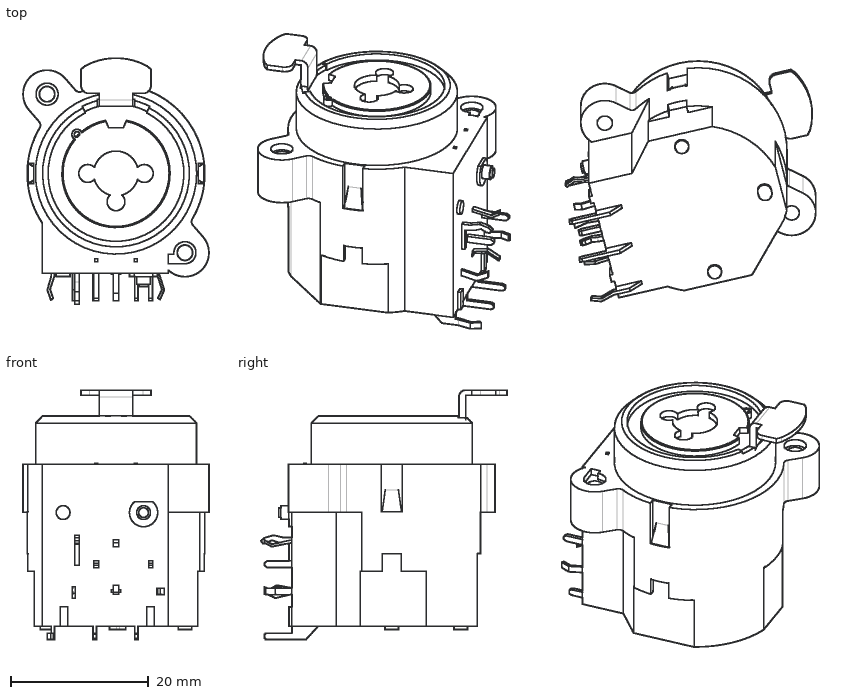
import cadquery as cq
import math


flange_radius = 12.9
flange_thickness = 7.0
housing_bottom = -23.55
block_left = -10.7
block_right = 7.6
block_front = -14.5
side_flat_x = 11.88
side_flat_top = -15.55
side_notch_width = 2.8
side_notch_top = -13.0
back_flat_y = 12.4
back_flat_top = -13.0
back_relief_y = 5.2
back_relief_bend_x = -4.66
back_relief_bend_y = 11.65
back_relief_end_x = -3.2
front_relief_x = 12.15
front_relief_end_y = -8.03

ear_x = 10.0
ear_y = 11.5
ear_radius = 3.5
ear_fillet = 0.8
screw_diameter = 2.2
counterbore_diameter = 3.2
counterbore_depth = 1.0
ear_pocket_width = 1.4

snap_floor_x = 11.9
snap_width = 3.0
snap_top = -3.7
snap_bottom = -6.9
ramp_top_width = 1.9
ramp_bottom_width = 2.8
ramp_rise = 0.8

collar_diameter = 23.4
collar_height = 7.0
collar_chamfer = 1.05
recess_radius = 9.85
recess_depth = 1.0
face_radius = 7.85
face_chamfer = 0.15
key_y = 6.6
key_bottom_width = 2.1
key_top_width = 3.2
nub_offset = 5.65
nub_radius = 0.75
nub_hole_radius = 0.4
socket_radius = 3.25
contact_radius = 1.3
contact_offset = 4.1
latch_gap_half_angle = 26.7
latch_gap_depth = 0.25
latch_gap_radius = 10.05
latch_slot_width = 5.45

latch_top = 10.75
sheet = 0.76
latch_width = 4.9
latch_front = 9.72
latch_back = 10.75
bend_radius = 1.0
latch_seat = 0.5
latch_foot = collar_height - recess_depth - latch_seat
tab_half_width = 5.1
tab_front = 11.6
tab_corner = 1.2
tab_shoulder_y = 15.1
tab_arc_x = 4.5
tab_arc_y = 15.6
tab_back = 16.75

stud_z = -7.03
stud_diameter = 2.0
pad_height = 0.45
left_pad_x = -7.67
right_pad_x = 4.0
right_pad_diameter = 4.1
right_pad_flat = 1.55
stud_length = 1.6
stud_tip_diameter = 1.4
stud_tip_length = 1.93
rib_width = 1.1
rib_top = -20.7
rib_centers = (-7.52, 5.03)

embed = 0.6
pin_length = 4.0
pin_tip = 0.4

straight_pin_low = -15.0
straight_pin_top = -14.05
straight_pin_spans = ((-3.23, -2.5), (4.75, 5.3))

strip_half_width = 0.43
upper_strip_edge = (-11.4, -12.0, -11.4)
upper_strip_kink = 2.9
upper_strip_thickness = 0.4
lower_strip_edge = (-18.25, -17.85, -18.9)
lower_strip_kink = 2.2
lower_strip_thickness = 0.3
lower_root_half_width = 0.7
lower_root_low = -18.6
lower_root_top = -18.2
lower_root_height = 0.1
left_strip_span = (-6.34, -5.9)
left_strip_edge = (-18.9, -19.45, -18.7)
left_strip_kink = 2.4
left_strip_thickness = 0.9

legged_span = (-6.02, -5.33)
leg_thickness = 0.45
leg_bottom = -14.7
legged_outline = [
    (-embed, -10.64),
    (1.2, -10.64),
    (2.65, -10.3),
    (4.0, -10.68),
    (4.51, -11.15),
    (4.2, -11.55),
    (3.75, -11.5),
    (2.9, -11.05),
    (1.9, -11.4),
    (leg_thickness, -11.6),
    (leg_thickness, leg_bottom),
    (-embed, leg_bottom),
]

side_bent_low = -18.95
side_bent_top = -18.0
side_bent_outline = [
    (5.9, -embed),
    (6.25, -embed),
    (6.25, 0),
    (7.03, 2.4),
    (6.4, 3.8),
    (6.05, 3.6),
    (6.65, 2.35),
    (5.9, 0),
]

bottom_pin_low = -25.45
bottom_pin_top = -24.5
gusset_top_out = -3.8
gusset_low_out = -2.05
bottom_straight_spans = ((-3.34, -2.82), (2.7, 3.22))
bottom_bent_span = (-9.4, -8.92)
bent_root = 0.4
bent_root_tip = 0.1
bottom_bent_outline = [
    (bottom_bent_span[0], 0),
    (bottom_bent_span[1], 0),
    (bottom_bent_span[1], bent_root),
    (-9.55, 2.3),
    (-9.1, 3.6),
    (-9.45, 3.9),
    (-9.98, 2.4),
    (bottom_bent_span[0], bent_root),
]

foot_diameter = 2.0
foot_height = 0.45
foot_x = 10.0
back_foot_x = 0.25
back_foot_y = 10.0
back_foot_length = 2.4
pip_size = 0.4
pip_height = 0.1
pip_x = 2.88
pip_y = -12.6


def block(x0, x1, y0, y1, z0, z1):
    """Axis-aligned box between two corners."""
    return cq.Workplane("XY").box(x1 - x0, y1 - y0, z1 - z0, centered=False).translate((x0, y0, z0))


def cylinder(x, y, z0, z1, radius):
    """Vertical cylinder."""
    return cq.Workplane("XY").workplane(offset=z0).center(x, y).circle(radius).extrude(z1 - z0)


def front_cylinder(x, z, reach, diameter):
    """Cylinder standing out of the front face."""
    plane = cq.Workplane("XZ", origin=(x, block_front + embed, z))
    return plane.circle(diameter / 2).extrude(reach + embed)


def half_turn(shape):
    """The same shape turned half a turn about the jack axis."""
    return shape.rotate((0, 0, 0), (0, 0, 1), 180)


def ear_plate():
    """Ear joined to the flange by a web of its own width."""
    length = math.hypot(ear_x, ear_y)
    direction = math.degrees(math.atan2(ear_y, -ear_x))
    web = block(0, length, -ear_radius, ear_radius, -flange_thickness, 0)
    web = web.rotate((0, 0, 0), (0, 0, 1), direction)
    return web.union(cylinder(-ear_x, ear_y, -flange_thickness, 0, ear_radius))


def flange():
    """Round flange with an ear at two opposite corners."""
    ear = ear_plate()
    disc = cylinder(0, 0, -flange_thickness, 0, flange_radius)
    plate = disc.union(ear).union(half_turn(ear))
    web_reach = math.sqrt(flange_radius**2 - ear_radius**2)
    for side in (1, -1):
        for edge in (1, -1):
            ux = -side * ear_x / math.hypot(ear_x, ear_y)
            uy = side * ear_y / math.hypot(ear_x, ear_y)
            x = ux * web_reach + edge * uy * ear_radius
            y = uy * web_reach - edge * ux * ear_radius
            corner = cq.selectors.NearestToPointSelector((x, y, -flange_thickness / 2))
            plate = plate.edges("|Z").edges(corner).fillet(ear_fillet)
    return plate


def on_flange(offset):
    """Other coordinate of a point on the flange rim, given one of them."""
    return math.sqrt(flange_radius**2 - offset**2)


def relief_prism(points):
    """Prism reaching from the housing bottom up to the flange."""
    plane = cq.Workplane("XY").workplane(offset=housing_bottom)
    return plane.polyline(points).close().extrude(-flange_thickness - housing_bottom)


def back_ear_relief():
    """Space under the back ear, bounded by two slanted flats."""
    outer = 2 * flange_radius
    return relief_prism([
        (-on_flange(back_relief_y), back_relief_y),
        (back_relief_bend_x, back_relief_bend_y),
        (back_relief_end_x, on_flange(back_relief_end_x)),
        (back_relief_end_x, outer),
        (-outer, outer),
        (-outer, back_relief_y),
    ])


def front_ear_relief():
    """Space under the front ear, bounded by a slanted flat and the terminal block."""
    outer = 2 * flange_radius
    return relief_prism([
        (front_relief_x, -on_flange(front_relief_x)),
        (block_right, front_relief_end_y),
        (block_right, -outer),
        (outer, -outer),
        (outer, -on_flange(front_relief_x)),
    ])


def housing():
    """Lower body with flats, reliefs and the square terminal block."""
    body = cylinder(0, 0, housing_bottom, -flange_thickness, flange_radius)
    body = body.cut(back_ear_relief()).cut(front_ear_relief())
    outer = 2 * flange_radius
    side_space = block(-outer, -side_flat_x, -outer, outer, housing_bottom, side_flat_top)
    half_notch = side_notch_width / 2
    notch = block(-outer, -side_flat_x, -half_notch, half_notch, side_flat_top, side_notch_top)
    side_space = side_space.union(notch)
    body = body.cut(side_space).cut(half_turn(side_space))
    body = body.cut(block(-outer, outer, back_flat_y, outer, housing_bottom, back_flat_top))
    terminal_block = block(block_left, block_right, block_front, 0, housing_bottom, 0)
    return body.union(flange()).union(terminal_block)


def ear_holes():
    """Counterbored screw holes, with a square pocket beside the front one."""
    tool = None
    for side in (1, -1):
        x = -side * ear_x
        y = side * ear_y
        hole = cylinder(x, y, -flange_thickness, 0, screw_diameter / 2)
        hole = hole.union(cylinder(x, y, -counterbore_depth, 0, counterbore_diameter / 2))
        tool = hole if tool is None else tool.union(hole)
    pocket_front = -ear_y - counterbore_diameter / 2
    pocket_back = pocket_front + ear_pocket_width
    pocket = block(block_right, ear_x, pocket_front, pocket_back, -counterbore_depth, 0)
    return tool.union(pocket)


def snap_slot():
    """Slot in the left side of the flange, less the snap ramp inside it."""
    half = snap_width / 2
    slot = block(-2 * flange_radius, -snap_floor_x, -half, half, snap_bottom, 0)
    wedge = (
        cq.Workplane("XZ", origin=(0, half, 0))
        .polyline([
            (-snap_floor_x, snap_top),
            (-snap_floor_x, snap_bottom),
            (-snap_floor_x - ramp_rise, snap_bottom),
        ])
        .close()
        .extrude(snap_width)
    )
    taper = (
        cq.Workplane("YZ")
        .polyline([
            (-ramp_top_width / 2, snap_top),
            (ramp_top_width / 2, snap_top),
            (ramp_bottom_width / 2, snap_bottom),
            (-ramp_bottom_width / 2, snap_bottom),
        ])
        .close()
        .extrude(-2 * flange_radius)
    )
    return slot.cut(wedge.intersect(taper))


def collar():
    """Chamfered collar with the raised socket face in its recess."""
    floor = collar_height - recess_depth
    ring = cylinder(0, 0, 0, collar_height, collar_diameter / 2)
    ring = ring.faces(">Z").chamfer(collar_chamfer)
    ring = ring.cut(cylinder(0, 0, floor, collar_height, recess_radius))
    gap_x = collar_diameter * math.tan(math.radians(latch_gap_half_angle))
    sector = (
        cq.Workplane("XY")
        .workplane(offset=floor)
        .polyline([(0, 0), (gap_x, collar_diameter), (-gap_x, collar_diameter)])
        .close()
        .extrude(recess_depth)
    )
    wide_recess = sector.intersect(cylinder(0, 0, floor, collar_height, latch_gap_radius))
    half_slot = latch_slot_width / 2
    slot = block(-half_slot, half_slot, latch_front, latch_back, floor, collar_height)
    low_rim = sector.translate((0, 0, recess_depth - latch_gap_depth))
    return ring.cut(low_rim).cut(wide_recess).cut(slot).union(socket_face(floor))


def socket_face(floor):
    """Socket disc with key notch, edge nub and the three-lobed opening."""
    nub = cylinder(-nub_offset, nub_offset, floor, collar_height, nub_radius)
    nub = nub.cut(cylinder(-nub_offset, nub_offset, floor, collar_height, nub_hole_radius))
    face = cylinder(0, 0, floor, collar_height, face_radius)
    face = face.faces(">Z").chamfer(face_chamfer).union(nub)
    key = (
        cq.Workplane("XY")
        .workplane(offset=floor)
        .polyline([
            (-key_bottom_width / 2, key_y),
            (key_bottom_width / 2, key_y),
            (key_top_width / 2, face_radius),
            (-key_top_width / 2, face_radius),
        ])
        .close()
        .extrude(recess_depth)
    )
    face = face.cut(key)
    opening = cylinder(0, 0, floor, collar_height, socket_radius)
    for x, y in ((-contact_offset, 0), (contact_offset, 0), (0, -contact_offset)):
        opening = opening.union(cylinder(x, y, floor, collar_height, contact_radius))
    return face.cut(opening)


def push_latch():
    """Bent sheet latch ending in a wide push tab."""
    half = latch_width / 2
    arm_back = tab_front + tab_corner
    arm = block(-half, half, latch_front, arm_back, latch_foot, latch_top)
    under = block(-latch_width, latch_width, latch_back, 2 * tab_back, latch_foot, latch_top - sheet)
    arm = arm.cut(under)
    arm = arm.edges("|X and >Z and <Y").fillet(bend_radius)
    tab = (
        cq.Workplane("XY")
        .workplane(offset=latch_top - sheet)
        .moveTo(-tab_half_width + tab_corner, tab_front)
        .lineTo(tab_half_width - tab_corner, tab_front)
        .radiusArc((tab_half_width, tab_front + tab_corner), -tab_corner)
        .lineTo(tab_half_width, tab_shoulder_y)
        .lineTo(tab_arc_x, tab_arc_y)
        .threePointArc((0, tab_back), (-tab_arc_x, tab_arc_y))
        .lineTo(-tab_half_width, tab_shoulder_y)
        .lineTo(-tab_half_width, tab_front + tab_corner)
        .radiusArc((-tab_half_width + tab_corner, tab_front), -tab_corner)
        .close()
        .extrude(sheet)
    )
    return arm.union(tab)


def front_details():
    """Pads, locating stud and ribs on the front face."""
    pad = front_cylinder(right_pad_x, stud_z, pad_height, right_pad_diameter)
    above = block(-flange_radius, flange_radius, -2 * flange_radius, 0, stud_z + right_pad_flat, 0)
    details = pad.cut(above)
    details = details.union(front_cylinder(right_pad_x, stud_z, stud_length, stud_diameter))
    details = details.union(front_cylinder(right_pad_x, stud_z, stud_tip_length, stud_tip_diameter))
    details = details.union(front_cylinder(left_pad_x, stud_z, pad_height, stud_diameter))
    for x in rib_centers:
        left = x - rib_width / 2
        right = x + rib_width / 2
        front = block_front - pad_height
        rib = block(left, right, front, block_front + embed, housing_bottom, rib_top)
        details = details.union(rib)
    return details


def side_profile_pin(span, points):
    """Terminal cut from sheet across an X span; points are (out, Z)."""
    outline = [(block_front - out, z) for out, z in points]
    plane = cq.Workplane("YZ", origin=(span[0], 0, 0))
    return plane.polyline(outline).close().extrude(span[1] - span[0])


def plan_profile_pin(z0, z1, points):
    """Terminal bent sideways; points are (X, out)."""
    outline = [(x, block_front - out) for x, out in points]
    return cq.Workplane("XY").workplane(offset=z0).polyline(outline).close().extrude(z1 - z0)


def straight_pin(span):
    """Straight terminal with a bevelled tip."""
    bevel = (straight_pin_top - straight_pin_low) / 3
    shoulder = pin_length - pin_tip
    return side_profile_pin(span, [
        (-embed, straight_pin_low),
        (shoulder, straight_pin_low),
        (pin_length, straight_pin_low + bevel),
        (pin_length, straight_pin_top - bevel),
        (shoulder, straight_pin_top),
        (-embed, straight_pin_top),
    ])


def kinked_strip(span, lower_edge, kink_out, thickness):
    """Strip with one kink; lower_edge holds its Z at the root, kink and tip."""
    root_z, kink_z, tip_z = lower_edge
    lower = [(-embed, root_z), (0, root_z), (kink_out, kink_z), (pin_length, tip_z)]
    upper = [(out, z + thickness) for out, z in reversed(lower)]
    return side_profile_pin(span, lower + upper)


def front_terminals():
    """Terminals leaving the front face."""
    middle = (-strip_half_width, strip_half_width)
    lower_root = block(
        -lower_root_half_width, lower_root_half_width,
        block_front - lower_root_height, block_front + embed,
        lower_root_low, lower_root_top,
    )
    pins = [straight_pin(span) for span in straight_pin_spans]
    return pins + [
        side_profile_pin(legged_span, legged_outline),
        kinked_strip(middle, upper_strip_edge, upper_strip_kink, upper_strip_thickness),
        kinked_strip(middle, lower_strip_edge, lower_strip_kink, lower_strip_thickness),
        lower_root,
        kinked_strip(left_strip_span, left_strip_edge, left_strip_kink, left_strip_thickness),
        plan_profile_pin(side_bent_low, side_bent_top, side_bent_outline),
    ]


def bottom_plate(span, reach, tip):
    """Gusset plate under the housing, continued outward as a pin of the given reach."""
    return side_profile_pin(span, [
        (gusset_top_out, housing_bottom + embed),
        (gusset_top_out, housing_bottom),
        (gusset_low_out, bottom_pin_low),
        (reach - tip, bottom_pin_low),
        (reach, bottom_pin_low + tip / 2),
        (reach, bottom_pin_top - tip / 2),
        (reach - tip, bottom_pin_top),
        (0, bottom_pin_top),
        (0, housing_bottom + embed),
    ])


def bottom_terminals():
    """Two straight terminals and one bent terminal under the housing."""
    pins = [bottom_plate(span, pin_length, pin_tip) for span in bottom_straight_spans]
    return pins + [
        bottom_plate(bottom_bent_span, bent_root, bent_root_tip),
        plan_profile_pin(bottom_pin_low, bottom_pin_top, bottom_bent_outline),
    ]


def feet_and_pips():
    """Locating feet under the housing and pips on top of the flange."""
    bottom = housing_bottom - foot_height
    top = housing_bottom + embed
    feet = [cylinder(x, 0, bottom, top, foot_diameter / 2) for x in (-foot_x, foot_x)]
    back_foot = (
        cq.Workplane("XY")
        .workplane(offset=bottom)
        .center(back_foot_x, back_foot_y)
        .slot2D(back_foot_length, foot_diameter)
        .extrude(top - bottom)
    )
    half = pip_size / 2
    pips = []
    for x in (-pip_x, pip_x):
        pips.append(block(x - half, x + half, pip_y - half, pip_y + half, -embed, pip_height))
    return feet + [back_foot] + pips


slot = snap_slot()
result = housing().cut(ear_holes()).cut(slot).cut(slot.mirror("YZ"))
result = result.union(collar()).union(push_latch()).union(front_details())
for piece in front_terminals() + bottom_terminals() + feet_and_pips():
    result = result.union(piece)